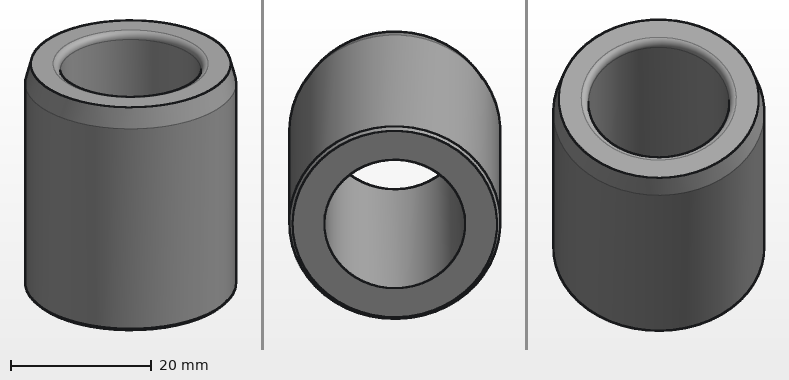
import cadquery as cq
import math

height = 35.0
outer_diameter = 30.0
bore_diameter = 20.0
lead_in_height = 3.0
lead_in_angle = 15.0
mouth_radius = 1.0
bottom_chamfer_height = 0.5
bottom_chamfer_angle = 45.0

outer_radius = outer_diameter / 2
bore_radius = bore_diameter / 2
lead_in_inset = lead_in_height * math.tan(math.radians(lead_in_angle))
bottom_inset = bottom_chamfer_height * math.tan(math.radians(bottom_chamfer_angle))

half_section = (
    cq.Workplane("XZ")
    .moveTo(bore_radius, 0)
    .lineTo(outer_radius - bottom_inset, 0)
    .lineTo(outer_radius, bottom_chamfer_height)
    .lineTo(outer_radius, height - lead_in_height)
    .lineTo(outer_radius - lead_in_inset, height)
    .lineTo(bore_radius, height)
    .close()
)
bush = half_section.revolve(360, (0, 0, 0), (0, 1, 0))

top_bore_edge = cq.selectors.RadiusNthSelector(0)
result = bush.faces(">Z").edges(top_bore_edge).fillet(mouth_radius)